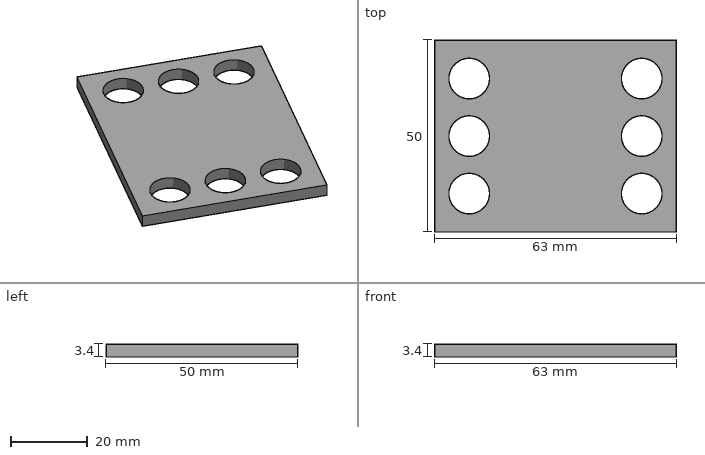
import cadquery as cq

length = 63.0
width = 50.0
thickness = 3.4

hole_diameter = 10.5
column_count = 2
row_count = 3
column_spacing = 45.0
row_spacing = 15.0

plate = cq.Workplane("XY").box(length, width, thickness)

result = (
    plate.faces(">Z")
    .workplane()
    .rarray(column_spacing, row_spacing, column_count, row_count)
    .hole(hole_diameter)
)